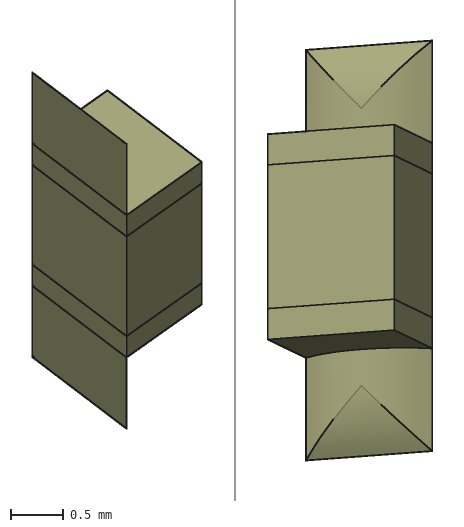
import cadquery as cq

width = 1.3
depth = 1.0
total_length = 4.0
chip_length = 2.0
cap_length = 0.3
crown_height = 0.21

front_y = -depth / 2
crown_y = front_y + crown_height
half_width = width / 2
chip_end = chip_length / 2
core_length = chip_length - 2 * cap_length
tab_end = total_length / 2
curve_start = tab_end - half_width


def make_block(length, center_z):
    """Full-section block of the chip, centred at the given height."""
    return cq.Workplane("XY").box(width, depth, length).translate((0, 0, center_z))


def make_upper_tab():
    """Tab arched across its width and curving down to a thin edge at its end."""
    cross_arch = (
        cq.Workplane("XY", origin=(0, 0, chip_end))
        .moveTo(-half_width, front_y)
        .threePointArc((0, crown_y), (half_width, front_y))
        .close()
        .extrude(tab_end - chip_end)
    )

    arch_radius = (half_width**2 + crown_height**2) / (2 * crown_height)
    end_profile = (
        cq.Workplane("YZ", origin=(-half_width, 0, 0))
        .moveTo(front_y, chip_end)
        .lineTo(crown_y, chip_end)
        .lineTo(crown_y, curve_start)
        .radiusArc((front_y, tab_end), -arch_radius)
        .close()
        .extrude(width)
    )
    return cross_arch.intersect(end_profile)


core = make_block(core_length, 0)

cap_center = (chip_length - cap_length) / 2
end_caps = [make_block(cap_length, side * cap_center) for side in (-1, 1)]

upper_tab = make_upper_tab().solids()
tabs = [upper_tab, upper_tab.mirror("XY").solids()]

result = cq.Compound.makeCompound([body.val() for body in [core, *end_caps, *tabs]])